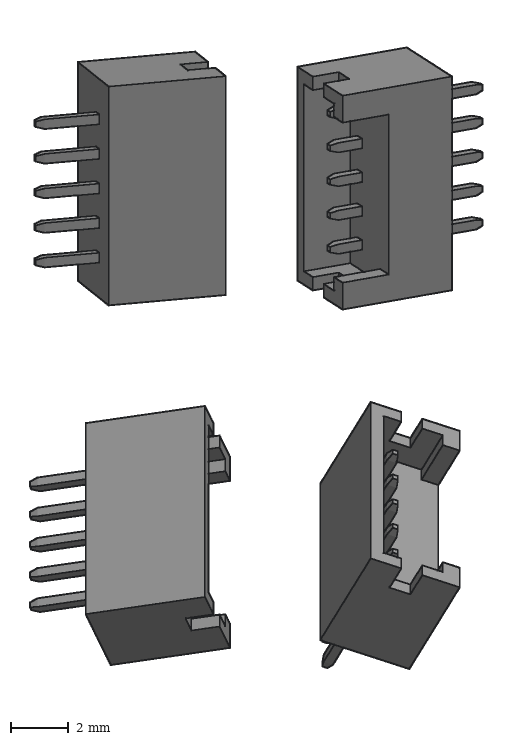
import cadquery as cq

width = 3.4
height = 7.9
pin_overhang = 2.3
total_depth = 6.6
depth = total_depth - pin_overhang

cavity_depth = 1.82
window_side_wall = 0.65
shell_wall = 0.5

window_margin = 0.995

notch_width = 0.8
notch_depth = 1.01
notch_offset = 1.43

pin_count = 5
pin_pitch = 1.25
pin_size = 0.355
pin_tip_size = 0.2
pin_taper = 0.29
pin_recess = 0.6
pin_x = 0.49


def block(x_start, x_size, y_start, y_size, z_size):
    """Box placed by its lower X and Y sides and centred on Z."""
    return cq.Workplane("XY").box(
        x_size, y_size, z_size, centered=(False, False, True)
    ).translate((x_start, y_start, 0))


def make_housing():
    left = -width / 2
    floor_y = depth - cavity_depth
    cavity_width = width - window_side_wall - shell_wall

    body = block(left, width, 0, depth, height)
    cavity = block(left + window_side_wall, cavity_width, floor_y, cavity_depth, height - 2 * shell_wall)
    window = block(left, window_side_wall, floor_y, cavity_depth, height - 2 * window_margin)
    notches = block(left + notch_offset, notch_width, depth - notch_depth, notch_depth, height)
    return body.cut(cavity).cut(window).cut(notches)


def make_pin_tip(y_base, y_end):
    """Tapered pin end, full size at y_base and narrowed at y_end."""
    return (
        cq.Workplane("XZ", origin=(pin_x, y_base, 0))
        .rect(pin_size, pin_size)
        .workplane(offset=y_base - y_end)
        .rect(pin_tip_size, pin_tip_size)
        .loft(ruled=True)
    )


def make_pin():
    tail_end = -pin_overhang
    mating_end = depth - pin_recess
    shank_start = tail_end + pin_taper
    shank_end = mating_end - pin_taper

    shank = block(pin_x - pin_size / 2, pin_size, shank_start, shank_end - shank_start, pin_size)
    tail_tip = make_pin_tip(shank_start, tail_end)
    mating_tip = make_pin_tip(shank_end, mating_end)
    return shank.union(tail_tip).union(mating_tip)


result = make_housing()
pin = make_pin()
for index in range(pin_count):
    pin_z = (index - (pin_count - 1) / 2) * pin_pitch
    result = result.union(pin.translate((0, 0, pin_z)))